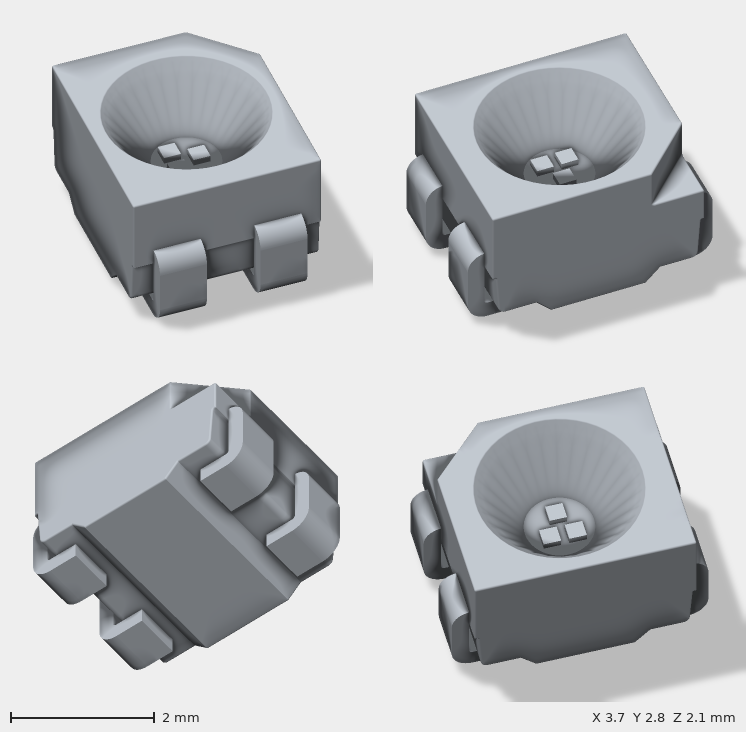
import cadquery as cq
import math

OVERALL_LENGTH = 3.7
BODY_LENGTH = 3.2
BODY_WIDTH = 2.8
HEIGHT = 2.1
HALF_BODY = BODY_LENGTH / 2

BODY_BOTTOM = 0.05
LEDGE_HEIGHT = 0.275
KEEL_HALF_LENGTH = 0.715
STEP_HEIGHT = 0.962
STEP_DEPTH = 0.05
STEP_CORNER_RADIUS = 0.025
WALL_DRAFT = 4.0
LOWER_CORNER_RADIUS = 0.095
EDGE_RADIUS = 0.025

MARK_LEG = 0.8
MARK_DEPTH = 0.6

CUP_DIAMETER = 2.4
CUP_FLOOR_DIAMETER = 1.0
CUP_DEPTH = 0.9
CHIP_SIZE = 0.25
CHIP_HEIGHT = 0.1
CHIP_OFFSET = 0.185
CHIP_CENTERS = [(0, CHIP_OFFSET), (-CHIP_OFFSET, -CHIP_OFFSET), (CHIP_OFFSET, -CHIP_OFFSET)]

LEAD_THICKNESS = (OVERALL_LENGTH - BODY_LENGTH) / 2
LEAD_WIDTH = 0.7
LEAD_SPACING = 1.5
LEAD_TOP = 1.2
LEAD_FOOT_LENGTH = 0.75
LEAD_TOP_RADIUS = 0.265
LEAD_BOTTOM_RADIUS = 0.3
LEAD_INNER_RADIUS = LEAD_BOTTOM_RADIUS - LEAD_THICKNESS
LEAD_EMBED = 0.185
LEAD_STEP_CLEARANCE = 0.025


def make_body():
    """Housing: XZ outline with a stepped, drafted lower wall, extruded along Y."""
    wall_top = HALF_BODY - STEP_DEPTH
    wall_inset = (STEP_HEIGHT - LEDGE_HEIGHT) * math.tan(math.radians(WALL_DRAFT))
    wall_bottom = wall_top - wall_inset
    keel_top = KEEL_HALF_LENGTH + LEDGE_HEIGHT - BODY_BOTTOM

    right_half = [
        (HALF_BODY, HEIGHT),
        (HALF_BODY, STEP_HEIGHT),
        (wall_top, STEP_HEIGHT),
        (wall_bottom, LEDGE_HEIGHT),
        (keel_top, LEDGE_HEIGHT),
        (KEEL_HALF_LENGTH, BODY_BOTTOM),
    ]
    left_half = [(-x, z) for x, z in reversed(right_half)]
    body = (
        cq.Workplane("XZ")
        .polyline(right_half + left_half)
        .close()
        .extrude(BODY_WIDTH / 2, both=True)
    )

    for side in (-1, 1):
        step_corner = cq.selectors.NearestToPointSelector((side * wall_top, 0, STEP_HEIGHT))
        body = body.edges(step_corner).fillet(STEP_CORNER_RADIUS)
        lower_corner = cq.selectors.NearestToPointSelector((side * wall_bottom, 0, LEDGE_HEIGHT))
        body = body.edges(lower_corner).fillet(LOWER_CORNER_RADIUS)
    return body


def make_corner_mark():
    """Triangular prism removed from the top at the -X, +Y corner."""
    x_side = -HALF_BODY
    y_side = BODY_WIDTH / 2
    return (
        cq.Workplane("XY", origin=(0, 0, HEIGHT - MARK_DEPTH))
        .polyline([(x_side, y_side), (x_side + MARK_LEG, y_side), (x_side, y_side - MARK_LEG)])
        .close()
        .extrude(MARK_DEPTH)
    )


def make_cup():
    """Conical reflector recess, removed from the top."""
    return (
        cq.Workplane("XY", origin=(0, 0, HEIGHT - CUP_DEPTH))
        .circle(CUP_FLOOR_DIAMETER / 2)
        .workplane(offset=CUP_DEPTH)
        .circle(CUP_DIAMETER / 2)
        .loft(ruled=True)
    )


def make_chips():
    """Three square chips standing on the cup floor."""
    return (
        cq.Workplane("XY", origin=(0, 0, HEIGHT - CUP_DEPTH))
        .pushPoints(CHIP_CENTERS)
        .rect(CHIP_SIZE, CHIP_SIZE)
        .extrude(CHIP_HEIGHT)
    )


def make_lead(y_center):
    """-X lead: a strip leaving the body side, bent down and under the body."""
    outer_x = -OVERALL_LENGTH / 2
    inner_x = -HALF_BODY
    foot_end = outer_x + LEAD_FOOT_LENGTH
    tab_end = inner_x + LEAD_EMBED
    tab_bottom = STEP_HEIGHT + LEAD_STEP_CLEARANCE
    lead = (
        cq.Workplane("XZ", origin=(0, y_center, 0))
        .polyline([
            (tab_end, LEAD_TOP),
            (outer_x, LEAD_TOP),
            (outer_x, 0),
            (foot_end, 0),
            (foot_end, LEAD_THICKNESS),
            (inner_x, LEAD_THICKNESS),
            (inner_x, tab_bottom),
            (tab_end, tab_bottom),
        ])
        .close()
        .extrude(LEAD_WIDTH / 2, both=True)
    )
    bends = [
        (outer_x, LEAD_TOP, LEAD_TOP_RADIUS),
        (outer_x, 0, LEAD_BOTTOM_RADIUS),
        (inner_x, LEAD_THICKNESS, LEAD_INNER_RADIUS),
    ]
    for x, z, radius in bends:
        corner = cq.selectors.NearestToPointSelector((x, y_center, z))
        lead = lead.edges(corner).fillet(radius)
    return lead


def round_housing(housing):
    """Round the edges of the -Y, +Y and top faces, the cup rim and the corner mark."""
    outer_edges = housing.faces("<Y or >Y or >Z").edges()
    mark_center = (
        -HALF_BODY + MARK_LEG / 2,
        BODY_WIDTH / 2 - MARK_LEG / 2,
        HEIGHT - MARK_DEPTH / 2,
    )
    mark_half_size = (
        MARK_LEG / 2 + EDGE_RADIUS,
        MARK_LEG / 2 + EDGE_RADIUS,
        MARK_DEPTH / 2 + EDGE_RADIUS,
    )
    mark_region = cq.selectors.BoxSelector(
        [c - h for c, h in zip(mark_center, mark_half_size)],
        [c + h for c, h in zip(mark_center, mark_half_size)],
    )
    return outer_edges.add(housing.edges(mark_region)).fillet(EDGE_RADIUS)


housing = make_body().cut(make_corner_mark()).cut(make_cup())
result = round_housing(housing).union(make_chips())

for y_center in (-LEAD_SPACING / 2, LEAD_SPACING / 2):
    lead = make_lead(y_center)
    result = result.union(lead).union(lead.mirror("YZ"))